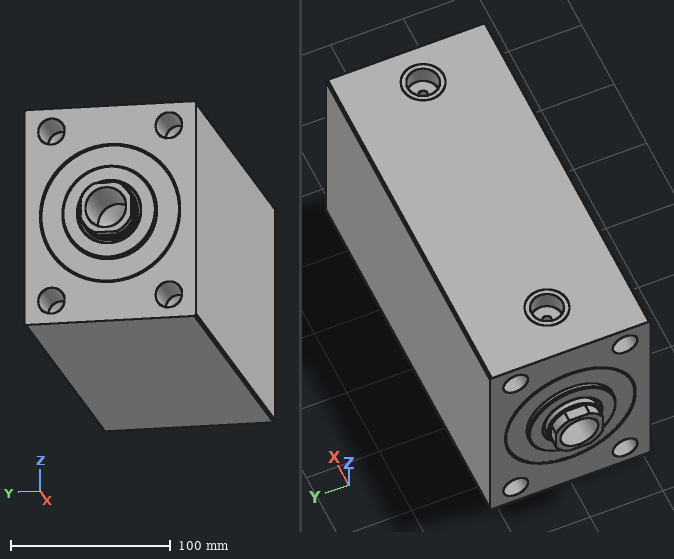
import cadquery as cq
import math


TOTAL_LENGTH = 267.0
NOSE_REACH = 14.0
BLOCK_LENGTH = TOTAL_LENGTH - NOSE_REACH
BLOCK_WIDTH = 110.0
BLOCK_HEIGHT = 140.0
BLOCK_CHAMFER = 1.0
BORE_DIAMETER = 88.0
BORE_CHAMFER = 0.8
END_WALL = 20.0
BORE_DEPTH = BLOCK_LENGTH - END_WALL

MOUNT_DIAMETER = 16.8
MOUNT_DEPTH = 32.0
MOUNT_SPACING_Y = 75.0
MOUNT_SPACING_Z = 110.0
DRILL_POINT_ANGLE = 118.0

FRONT_PORT_X = 36.0
REAR_PORT_X = 227.0
SPOTFACE_DIAMETER = 28.0
SPOTFACE_DEPTH = 0.13
PORT_DIAMETER = 21.0
PORT_DEPTH = 13.0
PASSAGE_DIAMETER = 6.0
PASSAGE_DEPTH = BLOCK_HEIGHT / 2 - BORE_DIAMETER / 4

GLAND_LENGTH = 37.0
FLANGE_DIAMETER = 60.0
FLANGE_THICKNESS = 3.2
FLANGE_CHAMFER = 0.8
RECESS_DIAMETER = 40.0
RECESS_DEPTH = 2.1
RECESS_CHAMFER = 0.5

ROD_DIAMETER = 36.0
ROD_REACH = 6.5
ROD_CHAMFER = 0.8
NOSE_DIAMETER = 35.0
NOSE_FLATS = 32.0
ROD_HOLE_DIAMETER = 26.0
ROD_HOLE_DEPTH = 40.0


def cylinder_x(diameter, start, end):
    """Solid cylinder on the X axis between two X positions."""
    return cq.Workplane("YZ", origin=(start, 0, 0)).circle(diameter / 2).extrude(end - start)


def drilled_hole_x(diameter, start, depth):
    """Cutter for a blind hole toward +X with a conical bottom."""
    radius = diameter / 2
    tip = radius / math.tan(math.radians(DRILL_POINT_ANGLE / 2))
    profile = (
        cq.Workplane("XY")
        .moveTo(start, 0)
        .lineTo(start, radius)
        .lineTo(start + depth, radius)
        .lineTo(start + depth + tip, 0)
        .close()
    )
    return profile.revolve(360, (0, 0, 0), (1, 0, 0))


def mouth_chamfer(diameter, start, size):
    """Cutter that bevels by 45 degrees the mouth of a hole running toward +X."""
    mouth = cq.Workplane("YZ", origin=(start, 0, 0)).circle(diameter / 2 + size)
    return mouth.workplane(offset=size).circle(diameter / 2).loft()


def port_cutter(x):
    """Cutter for a spotfaced oil port with a narrow passage down into the bore."""
    top = BLOCK_HEIGHT / 2
    steps = (
        (SPOTFACE_DIAMETER, SPOTFACE_DEPTH),
        (PORT_DIAMETER, PORT_DEPTH),
        (PASSAGE_DIAMETER, PASSAGE_DEPTH),
    )
    cutter = cq.Workplane("XY")
    for diameter, depth in steps:
        step = cq.Workplane("XY", origin=(x, 0, top)).circle(diameter / 2).extrude(-depth)
        cutter = cutter.union(step)
    return cutter


def make_block():
    block = (
        cq.Workplane("XY")
        .box(BLOCK_LENGTH, BLOCK_WIDTH, BLOCK_HEIGHT, centered=(False, True, True))
        .edges("|X")
        .chamfer(BLOCK_CHAMFER)
    )
    block = block.cut(cylinder_x(BORE_DIAMETER, 0, BORE_DEPTH))
    block = block.cut(mouth_chamfer(BORE_DIAMETER, 0, BORE_CHAMFER))
    for y in (-MOUNT_SPACING_Y / 2, MOUNT_SPACING_Y / 2):
        for z in (-MOUNT_SPACING_Z / 2, MOUNT_SPACING_Z / 2):
            hole = drilled_hole_x(MOUNT_DIAMETER, 0, MOUNT_DEPTH)
            block = block.cut(hole.translate((0, y, z)))
    for x in (FRONT_PORT_X, REAR_PORT_X):
        block = block.cut(port_cutter(x))
    return block


def make_gland():
    body = cylinder_x(BORE_DIAMETER, 0, GLAND_LENGTH)
    flange = cylinder_x(FLANGE_DIAMETER, -FLANGE_THICKNESS, 0).faces("<X").chamfer(FLANGE_CHAMFER)
    rod_hole = cylinder_x(ROD_DIAMETER, -FLANGE_THICKNESS, GLAND_LENGTH)
    recess = cylinder_x(RECESS_DIAMETER, -FLANGE_THICKNESS, RECESS_DEPTH - FLANGE_THICKNESS)
    recess_mouth = mouth_chamfer(RECESS_DIAMETER, -FLANGE_THICKNESS, RECESS_CHAMFER)
    return body.union(flange).cut(rod_hole).cut(recess).cut(recess_mouth)


def make_rod():
    shaft = cylinder_x(ROD_DIAMETER, -ROD_REACH, BORE_DEPTH).faces("<X").chamfer(ROD_CHAMFER)
    nose = cylinder_x(NOSE_DIAMETER, -NOSE_REACH, -ROD_REACH)
    square = (
        cq.Workplane("YZ", origin=(-NOSE_REACH, 0, 0))
        .rect(NOSE_FLATS, NOSE_FLATS)
        .extrude(NOSE_REACH - ROD_REACH)
    )
    rod = shaft.union(nose.intersect(square))
    return rod.cut(drilled_hole_x(ROD_HOLE_DIAMETER, -NOSE_REACH, ROD_HOLE_DEPTH))


block = make_block()
gland = make_gland()
rod = make_rod()

result = cq.Compound.makeCompound([block.val(), gland.val(), rod.val()])